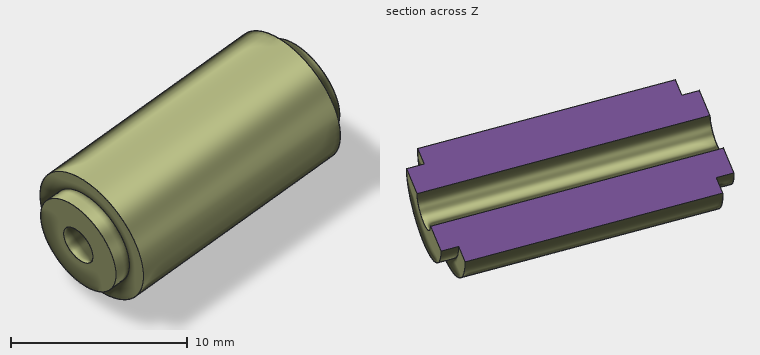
import cadquery as cq

overall_length = 17.5
body_diameter = 8.5
journal_diameter = 6.2
journal_length = 1.05
bore_diameter = 2.4

body_length = overall_length - 2 * journal_length


def cylinder_along_y(diameter, length):
    """Solid cylinder on the Y axis, centred on the origin."""
    end_plane = cq.Workplane("XZ", origin=(0, length / 2, 0))
    return end_plane.circle(diameter / 2).extrude(length)


body = cylinder_along_y(body_diameter, body_length)
journals = cylinder_along_y(journal_diameter, overall_length)

bore = cylinder_along_y(bore_diameter, overall_length)

result = body.union(journals).cut(bore)